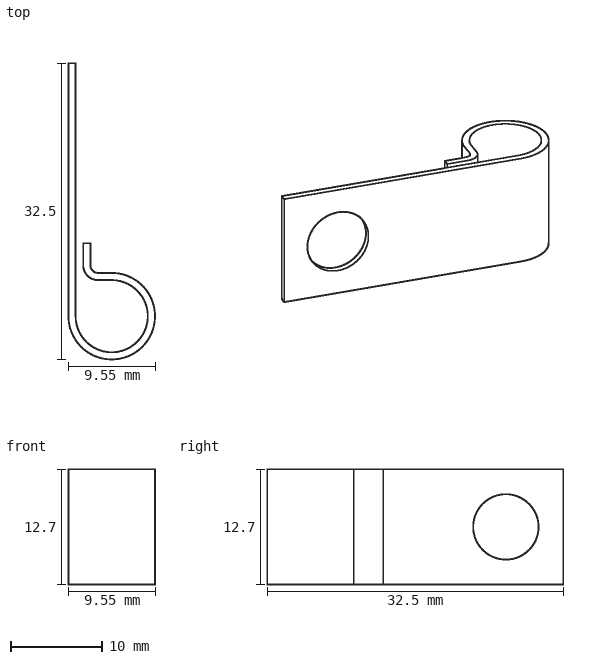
import cadquery as cq
import math

total_length = 32.55
strip_width = 12.7
loop_diameter = 9.55
thickness = 0.8

hole_diameter = 7.15
hole_end_distance = 6.3

lip_gap = 0.8
lip_end_height = 12.8
lip_inner_radius = 0.8

outer_radius = loop_diameter / 2
inner_radius = outer_radius - thickness
leg_end_y = total_length - outer_radius
lip_end_y = lip_end_height - outer_radius
lip_left_x = -inner_radius + lip_gap
lip_right_x = lip_left_x + thickness
lip_outer_radius = lip_inner_radius + thickness
bend_x = lip_right_x + lip_inner_radius
bend_y = outer_radius + lip_inner_radius
diagonal = math.sqrt(0.5)


def make_strip():
    """Bent strip: long leg, three-quarter loop and turned-up lip."""
    profile = (
        cq.Workplane("XY")
        .moveTo(-outer_radius, leg_end_y)
        .lineTo(-outer_radius, 0)
        .threePointArc((outer_radius * diagonal, -outer_radius * diagonal), (0, outer_radius))
        .lineTo(bend_x, outer_radius)
        .threePointArc(
            (bend_x - lip_inner_radius * diagonal, bend_y - lip_inner_radius * diagonal),
            (lip_right_x, bend_y),
        )
        .lineTo(lip_right_x, lip_end_y)
        .lineTo(lip_left_x, lip_end_y)
        .lineTo(lip_left_x, bend_y)
        .threePointArc(
            (bend_x - lip_outer_radius * diagonal, bend_y - lip_outer_radius * diagonal),
            (bend_x, inner_radius),
        )
        .lineTo(0, inner_radius)
        .threePointArc((inner_radius * diagonal, -inner_radius * diagonal), (-inner_radius, 0))
        .lineTo(-inner_radius, leg_end_y)
        .close()
    )
    return profile.extrude(strip_width / 2, both=True)


def make_hole():
    """Cylinder that pierces the long leg only."""
    return (
        cq.Workplane("YZ", origin=(-outer_radius, 0, 0))
        .center(leg_end_y - hole_end_distance, 0)
        .circle(hole_diameter / 2)
        .extrude(thickness)
    )


result = make_strip().cut(make_hole())